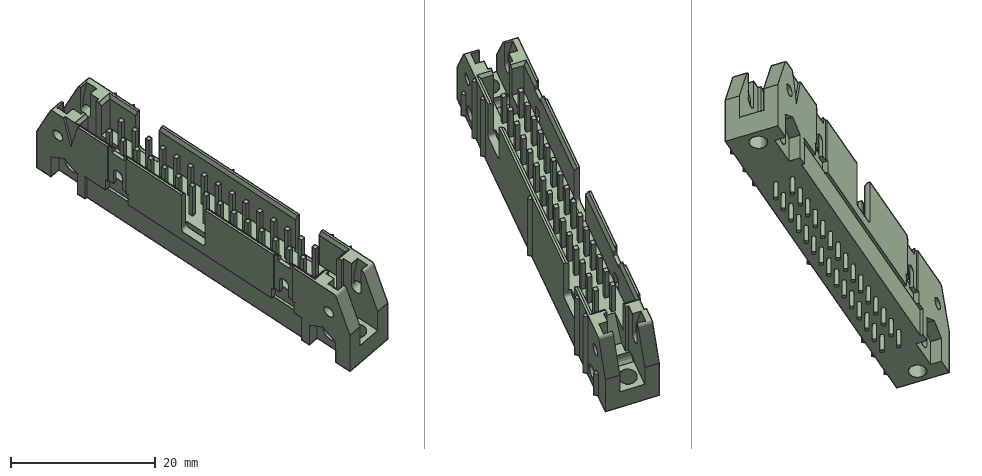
import cadquery as cq
import math


length = 57.4
width = 8.0
height = 13.95
half_length = length / 2
half_width = width / 2
ear_slope_run = 2.65
ear_slope_start = 7.5
ear_round = 0.6

cavity_width = 6.4
wall = (width - cavity_width) / 2
cavity_length = 43.05
cavity_floor = 7.4
lip_bevel = 0.45

columns = 15
row_length = 35.55
pitch = row_length / (columns - 1)
row_pitch = 2.5
pin_side = 0.65
tail_diameter = 0.65
tail_length = 2.8
pin_top = 13.45

slot_floor = 3.6
wide_slot_width = 3.7
wide_slot_end = 6.25
narrow_slot_width = 2.75
ramp_start = 7.75
ramp_end = 10.35
screw_hole_diameter = 2.6
screw_hole_inset = 2.05
screw_hole_y = -0.1
pivot_hole_diameter = 1.8
pivot_hole_inset = 3.9
pivot_hole_z = 9.5
pivot_groove_top_depth = 1.25
pivot_groove_low_depth = 0.5
pivot_groove_bend_z = 11.0

nut_flats = 4.8
nut_depth = 1.65
nut_hole_diameter = 2.45
nut_inset = 5.05
nut_z = 2.75

window_width = 4.3
window_bottom = 6.4
window_depth = 1.15
window_round = 0.5
rear_window_x = 14.65

panel_length = 39.65
panel_top = 4.65
panel_depth = 0.4
channel_centres = (-14.0, 16.4)
channel_width = 3.45
channel_depth = 0.25
block_width = 4.15
block_top = 6.7
arch_width = 1.6
arch_top = 9.9
notch_width = 2.2
notch_floor = 12.9

mark_left = -23.75
mark_right = -21.1
mark_tip_z = 8.95
mark_depth = 0.35

rib_base = 0.9
rib_height = 0.6
rib_top = 13.55
rib_bottom = 0.35
ear_rib_top = 5.35
wall_rib_places = (18.25, 21.5)
ear_rib_place = 25.65


def block(x_range, y_range, z_range):
    """Box given by its (low, high) limits along each axis."""
    sizes = [high - low for low, high in (x_range, y_range, z_range)]
    corner = (x_range[0], y_range[0], z_range[0])
    return cq.Workplane("XY").box(*sizes, centered=False).translate(corner)


def centred(middle, size):
    """(low, high) limits of a span of the given size about its middle."""
    return middle - size / 2, middle + size / 2


def from_front(depth):
    """Y limits of a cut of the given depth into the front face."""
    return -half_width, -half_width + depth


def front_prism(points, depth):
    """Outline in X and Z, cut from the front face to the given depth."""
    prism = cq.Workplane("XZ").polyline(points).close().extrude(-depth)
    return prism.translate((0, -half_width, 0))


def cross_cylinder(x, z, diameter):
    """Cylinder along Y through the whole width."""
    return cq.Workplane("XZ").center(x, z).circle(diameter / 2).extrude(half_width, both=True)


def both_ends(shape):
    """The shape together with its mirror image at the other end."""
    return shape.union(shape.mirror("YZ"))


def make_body():
    outline = [
        (-half_length, 0),
        (half_length, 0),
        (half_length, ear_slope_start),
        (half_length - ear_slope_run, height),
        (-half_length + ear_slope_run, height),
        (-half_length, ear_slope_start),
    ]
    body = cq.Workplane("XZ").polyline(outline).close().extrude(half_width, both=True)
    return body.edges("|Y and >Z").fillet(ear_round)


def make_cavity():
    cavity = block(centred(0, cavity_length), centred(0, cavity_width), (cavity_floor, height))
    bevel = (
        cq.Workplane("XY")
        .workplane(offset=height)
        .rect(cavity_length + 2 * lip_bevel, cavity_width + 2 * lip_bevel)
        .workplane(offset=-lip_bevel)
        .rect(cavity_length, cavity_width)
        .loft(ruled=True)
    )
    return cavity.union(bevel)


def make_ear_cuts():
    """Everything cut from the left ear except its nut pocket."""
    wide_slot = block(
        (-half_length, -half_length + wide_slot_end), centred(0, wide_slot_width), (slot_floor, height)
    )
    ramp_outline = [
        (-half_length, slot_floor),
        (-half_length + ramp_start, slot_floor),
        (-half_length + ramp_end, cavity_floor),
        (-half_length + ramp_end, height),
        (-half_length, height),
    ]
    narrow_slot = cq.Workplane("XZ").polyline(ramp_outline).close().extrude(narrow_slot_width / 2, both=True)
    screw_hole = (
        cq.Workplane("XY")
        .center(-half_length + screw_hole_inset, screw_hole_y)
        .circle(screw_hole_diameter / 2)
        .extrude(height)
    )
    pivot_x = -half_length + pivot_hole_inset
    pivot_hole = cross_cylinder(pivot_x, pivot_hole_z, pivot_hole_diameter)

    low_y = wide_slot_width / 2 + pivot_groove_low_depth
    top_y = wide_slot_width / 2 + pivot_groove_top_depth
    lead_in_outline = [
        (-low_y, pivot_hole_z),
        (low_y, pivot_hole_z),
        (low_y, pivot_groove_bend_z),
        (top_y, height),
        (-top_y, height),
        (-low_y, pivot_groove_bend_z),
    ]
    lead_in = (
        cq.Workplane("YZ")
        .polyline(lead_in_outline)
        .close()
        .extrude(pivot_hole_diameter / 2, both=True)
        .translate((pivot_x, 0, 0))
    )
    return wide_slot.union(narrow_slot).union(screw_hole).union(pivot_hole).union(lead_in)


def make_nut_pocket():
    """Hexagonal nut pocket, open at the bottom, with its screw hole across the left ear."""
    x = -half_length + nut_inset
    half_flats = nut_flats / 2
    corner_radius = nut_flats / math.sqrt(3)
    outline = [
        (x - half_flats, 0),
        (x + half_flats, 0),
        (x + half_flats, nut_z + corner_radius / 2),
        (x, nut_z + corner_radius),
        (x - half_flats, nut_z + corner_radius / 2),
    ]
    return front_prism(outline, nut_depth).union(cross_cylinder(x, nut_z, nut_hole_diameter))


def make_window(x, y_range):
    """Slot from the top of a wall with rounded lower corners."""
    window = block(centred(x, window_width), y_range, (window_bottom, height))
    return window.edges("|Y and <Z").fillet(window_round)


def make_channel(x):
    """Shallow channel up the front wall with a deeper foot, an arched opening and a top notch."""
    channel = block(centred(x, channel_width), from_front(channel_depth), (block_top, height))
    foot = block(centred(x, block_width), from_front(wall), (panel_top, block_top))
    arch_radius = arch_width / 2
    arch_centre = arch_top - arch_radius
    arch = block(centred(x, arch_width), from_front(wall), (block_top, arch_centre))
    arch_crown = (
        cq.Workplane("XZ")
        .center(x, arch_centre)
        .circle(arch_radius)
        .extrude(-wall)
        .translate((0, -half_width, 0))
    )
    notch = block(centred(x, notch_width), from_front(wall), (notch_floor, height))
    return channel.union(foot).union(arch).union(arch_crown).union(notch)


def make_pin_one_mark():
    middle = (mark_left + mark_right) / 2
    return front_prism([(mark_left, height), (middle, mark_tip_z), (mark_right, height)], mark_depth)


def make_rib(x, top):
    """Triangular rib standing up the rear face; its base starts just inside the wall."""
    embed = wall / 2
    base = half_width - embed
    outline = [
        (x - rib_base / 2, base),
        (x - rib_base / 2, half_width),
        (x, half_width + rib_height),
        (x + rib_base / 2, half_width),
        (x + rib_base / 2, base),
    ]
    rib = cq.Workplane("XY").polyline(outline).close().extrude(top - rib_bottom)
    return rib.translate((0, 0, rib_bottom))


def make_pins():
    """Square contacts standing in the cavity and round tails below the body."""
    grid = cq.Workplane("XY").rarray(pitch, row_pitch, columns, 2)
    embed = cavity_floor / 2
    contacts = grid.rect(pin_side, pin_side).extrude(pin_top - embed).translate((0, 0, embed))
    tails = grid.circle(tail_diameter / 2).extrude(tail_length + embed).translate((0, 0, -tail_length))
    return contacts, tails


result = make_body()
result = result.cut(make_cavity())
result = result.cut(both_ends(make_ear_cuts()))
result = result.cut(both_ends(make_nut_pocket()))

result = result.cut(make_window(0, from_front(window_depth)))
for window_x in (-rear_window_x, rear_window_x):
    result = result.cut(make_window(window_x, (half_width - window_depth, half_width)))

result = result.cut(block(centred(0, panel_length), from_front(panel_depth), (0, panel_top)))
for channel_x in channel_centres:
    result = result.cut(make_channel(channel_x))
result = result.cut(make_pin_one_mark())

result = result.union(make_rib(0, rib_top))
for side in (-1, 1):
    for rib_x in wall_rib_places:
        result = result.union(make_rib(side * rib_x, rib_top))
    result = result.union(make_rib(side * ear_rib_place, ear_rib_top))

for pin_part in make_pins():
    result = result.union(pin_part)